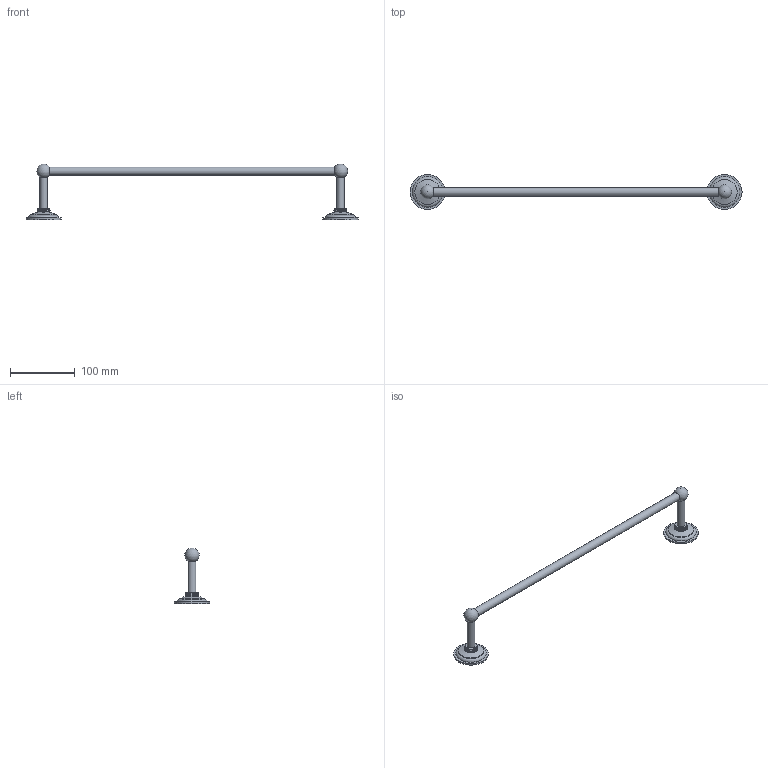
import cadquery as cq

post_spacing = 457.2
post_diameter = 12.0

overall_height = 86.0
ball_radius = 11.0
ball_center_z = overall_height - ball_radius
bar_diameter = 12.7

flange_radius = 27.0
rim_height = 3.0
shoulder_radius = 23.5
shoulder_top_radius = 19.5
shoulder_top_height = 7.0
shoulder_bulge = 0.8
crown_step_height = 1.3
crown_top_radius = 10.5
flange_height = 11.5

collar_height = 6.0
collar_lip_radius = 9.3
collar_lip_height = 1.5
collar_ridge_radius = 10.0


def revolve_about_z(outline):
    """Turn a closed radius-height outline into a solid about the Z axis."""
    return outline.close().revolve(360, (0, 0, 0), (0, 1, 0))


def make_flange():
    """Turned mounting flange: flat rim, convex shoulder, small step and conical crown."""
    shoulder_mid = (
        (shoulder_radius + shoulder_top_radius) / 2 + shoulder_bulge,
        (rim_height + shoulder_top_height) / 2 + shoulder_bulge,
    )
    outline = (
        cq.Workplane("YZ")
        .lineTo(flange_radius, 0)
        .lineTo(flange_radius, rim_height)
        .lineTo(shoulder_radius, rim_height)
        .threePointArc(shoulder_mid, (shoulder_top_radius, shoulder_top_height))
        .lineTo(shoulder_top_radius, shoulder_top_height + crown_step_height)
        .lineTo(crown_top_radius, flange_height)
        .lineTo(0, flange_height)
    )
    return revolve_about_z(outline)


def make_collar():
    """Ring on top of the flange: a ridge around its middle between two narrow lips."""
    collar_top = flange_height + collar_height
    ridge_z = flange_height + collar_height / 2
    outline = (
        cq.Workplane("YZ")
        .moveTo(0, flange_height)
        .lineTo(collar_lip_radius, flange_height)
        .lineTo(collar_lip_radius, flange_height + collar_lip_height)
        .lineTo(collar_ridge_radius, ridge_z)
        .lineTo(collar_lip_radius, collar_top - collar_lip_height)
        .lineTo(collar_lip_radius, collar_top)
        .lineTo(0, collar_top)
    )
    return revolve_about_z(outline)


def make_post():
    """Flange, collar, round stem and ball, standing on the Z axis."""
    stem = cq.Workplane("XY").circle(post_diameter / 2).extrude(ball_center_z)
    ball = cq.Workplane("XY").sphere(ball_radius).translate((0, 0, ball_center_z))
    return make_flange().union(make_collar()).union(stem).union(ball)


def make_bar():
    """Round bar joining the two ball centers."""
    return (
        cq.Workplane("YZ")
        .center(0, ball_center_z)
        .circle(bar_diameter / 2)
        .extrude(post_spacing / 2, both=True)
    )


result = make_bar()
for side in (-1, 1):
    result = result.union(make_post().translate((side * post_spacing / 2, 0, 0)))